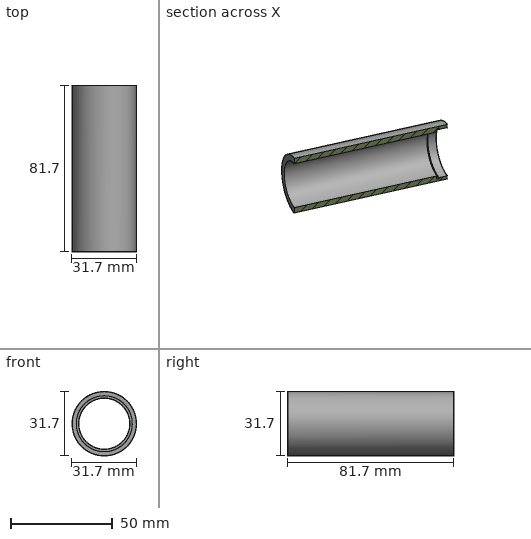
import cadquery as cq

outer_diameter = 31.7
bore_diameter = 25.0
length = 81.7
end_y = -length / 2

counterbore_diameter = 27.5
counterbore_depth = 5.5
groove_diameter = 28.7
groove_width = 1.0


def cylinder_along_y(diameter, start_y, height):
    """Solid cylinder on the Y axis, growing towards +Y, with its seam on the +Z side."""
    plane = cq.Plane(origin=(0, start_y, 0), xDir=(0, 0, 1), normal=(0, 1, 0))
    return cq.Workplane(plane).circle(diameter / 2).extrude(height)


def tube():
    """Plain tube with a through bore."""
    body = cylinder_along_y(outer_diameter, end_y, length)
    return body.cut(cylinder_along_y(bore_diameter, end_y, length))


def counterbore_with_groove():
    """Cutter for the counterbore and its relief groove."""
    groove_y = end_y + counterbore_depth - groove_width
    counterbore = cylinder_along_y(counterbore_diameter, end_y, counterbore_depth)
    groove = cylinder_along_y(groove_diameter, groove_y, groove_width)
    return counterbore.union(groove)


result = tube().cut(counterbore_with_groove())